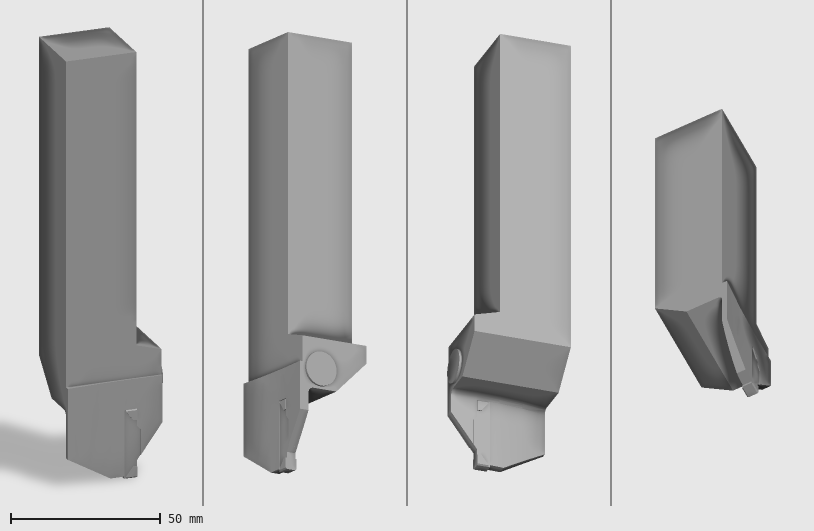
import cadquery as cq

total_height = 151.4
shank_size = 25.1
head_depth = 34.2
shoulder_inner_z = 46.8
shoulder_outer_z = 44.2
bevel_top_z = 38.0
bevel_end_x = 11.8
head_bottom_z = 26.6

blade_top_z = 35.3
blade_front_bottom_z = 10.0
blade_back_bottom_z = 18.6
blade_bottom_z = 0.9
blade_bottom_front_y = 15.6
blade_outer_front_x = 27.0
blade_outer_mid_x = 25.9
blade_outer_back_x = 26.0
blade_inner_front_x = shank_size
blade_inner_mid_x = 22.4
blade_inner_back_x = 22.7
root_radius = 1.8

insert_front_y = 20.6
insert_back_y = shank_size
insert_length = 24.5
insert_body_left_x = 22.2
insert_body_right_x = 25.6
tip_overhang = 0.5
tip_chamfer = 0.5
tip_length = 4.0
tip_land_y = 23.8
tip_front_y = 21.2
tip_front_z = 0.6
bulge_depth = 1.4
bulge_top_z = 18.3
clamp_line_low_z = 5.9

boss_diameter = 11.8
boss_height = 0.9
boss_x = 18.2
boss_z = 33.5

back_slope = (blade_back_bottom_z - clamp_line_low_z) / (head_depth - insert_back_y)
bulge_bottom_z = clamp_line_low_z + bulge_depth * back_slope


def insert_side(x_start, x_end):
    """Side outline of the insert, extruded along X."""
    bulge_y = insert_back_y + bulge_depth
    points = [
        (insert_front_y, 0),
        (insert_back_y, 0),
        (insert_back_y, clamp_line_low_z),
        (bulge_y, bulge_bottom_z),
        (bulge_y, bulge_top_z - bulge_depth),
        (insert_back_y, bulge_top_z),
        (insert_back_y, insert_length),
        (insert_front_y, insert_length),
    ]
    outline = cq.Workplane("YZ").workplane(offset=x_start).polyline(points).close()
    return outline.extrude(x_end - x_start)


def make_tip():
    """Lower cutting tip, wider than the insert body, with a chamfered end."""
    points = [
        (tip_front_y, 0),
        (insert_back_y, 0),
        (insert_back_y, tip_length),
        (tip_land_y, tip_length),
        (tip_front_y, tip_front_z),
    ]
    left_x = insert_body_left_x - tip_overhang
    right_x = insert_body_right_x + tip_overhang
    outline = cq.Workplane("YZ").workplane(offset=left_x).polyline(points).close()
    tip = outline.extrude(right_x - left_x)
    return tip.edges("|Y and <Z").chamfer(tip_chamfer)


def make_insert():
    lower_tip = make_tip()
    upper_tip = lower_tip.mirror("XY", (0, 0, insert_length / 2))
    body = insert_side(insert_body_left_x, insert_body_right_x)
    return body.union(lower_tip).union(upper_tip)


def make_shank():
    """Square shank and deeper head, with the bevel on the -X side."""
    points = [
        (0, total_height),
        (shank_size, total_height),
        (shank_size, head_bottom_z),
        (bevel_end_x, head_bottom_z),
        (0, bevel_top_z),
    ]
    return cq.Workplane("XZ").polyline(points).close().extrude(-head_depth)


def make_blade():
    """Blade bounded by two arcs in plan."""
    return (
        cq.Workplane("XY")
        .moveTo(blade_inner_front_x, 0)
        .lineTo(blade_outer_front_x, 0)
        .threePointArc((blade_outer_mid_x, insert_front_y), (blade_outer_back_x, head_depth))
        .lineTo(blade_inner_back_x, head_depth)
        .threePointArc((blade_inner_mid_x, insert_front_y), (blade_inner_front_x, 0))
        .close()
        .extrude(blade_top_z)
    )


def make_side_envelope():
    """Outline that trims the shank, head and blade as seen along X."""
    points = [
        (0, blade_front_bottom_z),
        (0, total_height),
        (shank_size, total_height),
        (shank_size, shoulder_inner_z),
        (head_depth, shoulder_outer_z),
        (head_depth, blade_back_bottom_z),
        (insert_back_y, clamp_line_low_z),
        (insert_back_y, blade_bottom_z),
        (blade_bottom_front_y, blade_bottom_z),
    ]
    return cq.Workplane("YZ").polyline(points).close().extrude(blade_outer_front_x)


def make_boss():
    return (
        cq.Workplane("XZ", origin=(boss_x, head_depth, boss_z))
        .circle(boss_diameter / 2)
        .extrude(-boss_height)
    )


def make_holder():
    holder = make_shank().union(make_blade())
    root_point = (blade_inner_mid_x, insert_front_y, head_bottom_z)
    holder = holder.edges(cq.selectors.NearestToPointSelector(root_point)).fillet(root_radius)
    holder = holder.intersect(make_side_envelope())
    seat = insert_side(0, blade_outer_front_x)
    return holder.cut(seat).union(make_boss())


holder = make_holder()
cutting_insert = make_insert()

result = cq.Compound.makeCompound([holder.val(), cutting_insert.val()])